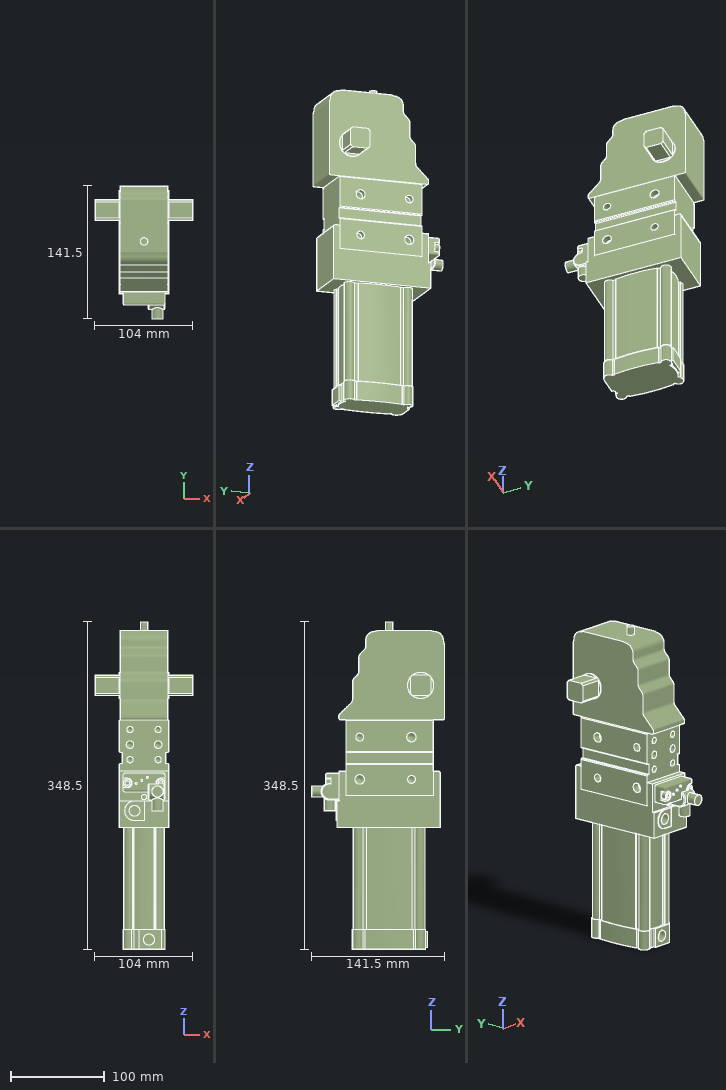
import cadquery as cq
import math

TOTAL_HEIGHT = 348.5
TOTAL_WIDTH = 104.0

HEAD_WIDTH = 51.0
HEAD_BOTTOM = 244.3
HEAD_TOP = 339.5
HEAD_BACK = 59.0
HEAD_NOSE = -53.5
STEP_Y = (-25.0, -32.5, -39.0)
STEP_TOP_Z = (320.3, 293.5, 263.8)
STEP_FILLET = 6.0
TOE_HEIGHT = 5.2
TOE_FILLET = 1.7
HEAD_BASE_FILLET = 1.5
CROWN_BACK_CORNER = 10.0
CROWN_FRONT_CORNER = 9.8
CROWN_LEAN = 1.0
CROWN_LEAN_LENGTH = 4.0
BUTTON_DIAMETER = 8.0

BLOCK_WIDTH = 53.0
BLOCK_BACK = 47.0
BLOCK_FRONT = -46.0
BLOCK_BOTTOM = 163.8
GROOVE_DEPTH = 3.0
GROOVE_BOTTOM = 198.0
GROOVE_TOP = 209.5
GROOVE_CHAMFER = 1.0

FRONT_HOLE_X = 15.0
FRONT_HOLE_MID_Z = 217.8
FRONT_HOLE_PITCH = 16.0
FRONT_SCREW_HOLE = 6.5
FRONT_DOWEL_HOLE = 8.0
SIDE_HOLE_BACK_Y = 23.7
SIDE_HOLE_FRONT_Y = -31.5
SIDE_HOLE_LOW_Z = 181.0
SIDE_HOLE_HIGH_Z = 226.0
SIDE_SCREW_HOLE = 8.5
SIDE_DOWEL_HOLE = 10.0
BLIND_DEPTH = 8.7
DRILL_POINT_ANGLE = 118

SHAFT_Y = 33.5
SHAFT_Z = 281.0
SHAFT_DIAMETER = 28.0
SHAFT_SQUARE = 22.0

CYL_HEAD_BACK = 54.5
CYL_HEAD_FRONT = -55.8
CYL_HEAD_BOTTOM = 129.5
CYL_HEAD_TOP = 189.5
CYL_HEAD_CHAMFER = 1.5
SENSOR_SEAT_Y = -53.3
SENSOR_SEAT_Z = 158.0
SEAT_HOLE_DIAMETER = 5.5
SEAT_HOLE_Z = 162.0
SEAT_HOLE_DEPTH = 1.7

PORT_PAD_DIAMETER = 21.0
PORT_PAD_HEIGHT = 1.0
PORT_PAD_RIGHT = 0.7
PORT_X = -10.0
PORT_Z = 147.5
PORT_DIAMETER = 11.5
PORT_DEPTH = 8.7

TUBE_HALF_WIDTH = 21.5
TUBE_HALF_LENGTH = 38.5
TUBE_SIDE_HALF = 24.0
TUBE_END_HALF = 12.0
CAP_HALF_WIDTH = 22.3
CAP_HALF_LENGTH = 38.7
CAP_SIDE_HALF = 25.8
CAP_END_HALF = 10.8
CAP_HEIGHT = 21.0
RIB_DIAMETER = 11.5
SIDE_BULGE = 1.7
SIDE_SETBACK = 2.8
END_BULGE = 2.5
END_SETBACK = 1.0
CAP_PORT_X = 5.2
CAP_PORT_Z = 10.5
CAP_PORT_DIAMETER = 12.0
CAP_PAD_WIDTH = 21.0
CAP_PAD_BEVEL_WIDTH = 2.8
CAP_PAD_BEVEL_DEPTH = 0.7
CAP_PAD_FRONT = -39.5
CAP_PAD_BACK = 40.8
CAP_PAD_BACK_BOTTOM = 1.7
CAP_PAD_BACK_TOP = 19.0

SENSOR_WIDTH = 44.5
SENSOR_BOTTOM = 167.5
SENSOR_TOP = 187.5
SENSOR_FRONT = -67.5
SENSOR_FILLET = 2.0
SENSOR_SCREW_X = 17.8
SENSOR_SCREW_Z = 177.0
SENSOR_SCREW_RECESS = 10.0
SENSOR_SCREW_DIAMETER = 8.5
SENSOR_RECESS_DEPTH = 5.5
SCREW_SOCKET_DIAMETER = 5.0
SCREW_SOCKET_DEPTH = 2.8
SENSOR_FRONT_FILLET = 1.7
LIGHT_PITCH_X = 6.0
LIGHT_PITCH_Z = 3.0
LIGHT_MID_X = -2.5
LIGHT_MID_Z = 180.0
LIGHT_SIZE = 2.0
LIGHT_DEPTH = 1.0

ELBOW_LEFT = 4.2
ELBOW_DIAMETER = 18.0
ELBOW_CHAMFER = 1.0
ELBOW_Y = -63.5
ELBOW_Z = 168.0
PLUG_X = 14.3
PLUG_DIAMETER = 12.0
PLUG_FRONT = -82.5
PLUG_BOTTOM = 147.5


def box(x_range, y_range, z_range):
    """Box between the given limits along X, Y and Z."""
    size = [high - low for low, high in (x_range, y_range, z_range)]
    corner = (x_range[0], y_range[0], z_range[0])
    return cq.Workplane("XY").box(*size, centered=False).translate(corner)


def rod(start, direction, diameter, length):
    """Cylinder that starts at a point and runs along a direction."""
    solid = cq.Solid.makeCylinder(diameter / 2, length, cq.Vector(*start), cq.Vector(*direction))
    return cq.Workplane(obj=solid)


def drilled_hole(start, direction, diameter):
    """Cutter for a blind hole with a conical bottom."""
    radius = diameter / 2
    tip = radius / math.tan(math.radians(DRILL_POINT_ANGLE / 2))
    cutter = (
        cq.Workplane("XZ")
        .polyline([(0, 0), (radius, 0), (radius, BLIND_DEPTH), (0, BLIND_DEPTH + tip)])
        .close()
        .revolve(360, (0, 0), (0, 1))
        .val()
    )
    plane = cq.Plane(origin=start, normal=direction)
    return cq.Workplane(obj=cutter.moved(cq.Location(plane)))


def clamp_head():
    """Head with a rounded crown and a stepped front, extruded along X."""
    crown_back = HEAD_BACK - CROWN_LEAN
    crown_shoulder = HEAD_TOP - CROWN_LEAN
    bend = math.sqrt(0.5)
    back_r = CROWN_BACK_CORNER
    front_r = CROWN_FRONT_CORNER
    back_centre = (crown_back - back_r, crown_shoulder - back_r)
    front_centre = (STEP_Y[0] + front_r, crown_shoulder - front_r)
    toe_top = HEAD_BOTTOM + TOE_HEIGHT
    outline = (
        cq.Workplane("YZ")
        .moveTo(HEAD_BACK, HEAD_BOTTOM)
        .lineTo(HEAD_BACK, back_centre[1] - CROWN_LEAN_LENGTH)
        .lineTo(crown_back, back_centre[1])
        .threePointArc(
            (back_centre[0] + back_r * bend, back_centre[1] + back_r * bend),
            (back_centre[0], crown_shoulder),
        )
        .lineTo(back_centre[0] - CROWN_LEAN_LENGTH, HEAD_TOP)
        .lineTo(front_centre[0] + CROWN_LEAN_LENGTH, HEAD_TOP)
        .lineTo(front_centre[0], crown_shoulder)
        .threePointArc(
            (front_centre[0] - front_r * bend, front_centre[1] + front_r * bend),
            (STEP_Y[0], front_centre[1]),
        )
        .lineTo(STEP_Y[0], STEP_TOP_Z[0])
    )
    for step in (1, 2):
        drop = STEP_Y[step - 1] - STEP_Y[step]
        outline = outline.lineTo(STEP_Y[step], STEP_TOP_Z[step - 1] - drop)
        outline = outline.lineTo(STEP_Y[step], STEP_TOP_Z[step])
    outline = outline.lineTo(HEAD_NOSE, toe_top).lineTo(HEAD_NOSE, HEAD_BOTTOM).close()
    head = outline.extrude(HEAD_WIDTH / 2, both=True)

    for step in (0, 1, 2):
        head = round_edge(head, STEP_Y[step], STEP_TOP_Z[step], STEP_FILLET)
    for step in (1, 2):
        drop = STEP_Y[step - 1] - STEP_Y[step]
        head = round_edge(head, STEP_Y[step], STEP_TOP_Z[step - 1] - drop, STEP_FILLET)
    head = round_edge(head, HEAD_NOSE, toe_top, TOE_FILLET)
    head = round_edge(head, HEAD_NOSE, HEAD_BOTTOM, TOE_FILLET)
    return round_edge(head, HEAD_BACK, HEAD_BOTTOM, HEAD_BASE_FILLET)


def round_edge(body, y, z, radius):
    """Fillet the edge along X that passes through (y, z)."""
    return body.edges(cq.selectors.NearestToPointSelector((0, y, z))).fillet(radius)


def mounting_block():
    """Block under the head, with bevelled top edges and a groove in each side."""
    half = BLOCK_WIDTH / 2
    bevel = (BLOCK_WIDTH - HEAD_WIDTH) / 2
    block = box((-half, half), (BLOCK_FRONT, BLOCK_BACK), (BLOCK_BOTTOM, HEAD_BOTTOM))
    block = block.faces(">Z").edges("|Y").chamfer(bevel)
    floor = half - GROOVE_DEPTH
    for side in (-1, 1):
        groove = (
            cq.Workplane("XZ", origin=(0, BLOCK_BACK, 0))
            .moveTo(side * floor, GROOVE_BOTTOM)
            .lineTo(side * (half - GROOVE_CHAMFER), GROOVE_BOTTOM)
            .lineTo(side * half, GROOVE_BOTTOM - GROOVE_CHAMFER)
            .lineTo(side * half, GROOVE_TOP + GROOVE_CHAMFER)
            .lineTo(side * (half - GROOVE_CHAMFER), GROOVE_TOP)
            .lineTo(side * floor, GROOVE_TOP)
            .close()
            .extrude(BLOCK_BACK - BLOCK_FRONT)
        )
        block = block.cut(groove)
    return block


def drill_mounting_holes(block):
    """Screw and dowel holes in the front and in both sides of the block."""
    for x in (-FRONT_HOLE_X, FRONT_HOLE_X):
        for row, diameter in ((-1, FRONT_SCREW_HOLE), (0, FRONT_DOWEL_HOLE), (1, FRONT_SCREW_HOLE)):
            start = (x, BLOCK_FRONT, FRONT_HOLE_MID_Z + row * FRONT_HOLE_PITCH)
            block = block.cut(drilled_hole(start, (0, 1, 0), diameter))
    side_holes = (
        (SIDE_HOLE_BACK_Y, SIDE_HOLE_HIGH_Z, SIDE_DOWEL_HOLE),
        (SIDE_HOLE_FRONT_Y, SIDE_HOLE_HIGH_Z, SIDE_SCREW_HOLE),
        (SIDE_HOLE_BACK_Y, SIDE_HOLE_LOW_Z, SIDE_SCREW_HOLE),
        (SIDE_HOLE_FRONT_Y, SIDE_HOLE_LOW_Z, SIDE_DOWEL_HOLE),
    )
    for side in (-1, 1):
        for y, z, diameter in side_holes:
            start = (side * BLOCK_WIDTH / 2, y, z)
            block = block.cut(drilled_hole(start, (-side, 0, 0), diameter))
    return block


def make_clamp():
    """Head, mounting block and release button, with a bore for the shaft."""
    block = drill_mounting_holes(mounting_block())
    button = rod((0, 0, HEAD_TOP), (0, 0, 1), BUTTON_DIAMETER, TOTAL_HEIGHT - HEAD_TOP)
    bore = rod((-HEAD_WIDTH / 2, SHAFT_Y, SHAFT_Z), (1, 0, 0), SHAFT_DIAMETER, HEAD_WIDTH)
    return clamp_head().union(block).union(button).cut(bore)


def make_shaft():
    """Round shaft with square ends whose corners are turned to the shaft diameter."""
    journal = rod((-BLOCK_WIDTH / 2, SHAFT_Y, SHAFT_Z), (1, 0, 0), SHAFT_DIAMETER, BLOCK_WIDTH)
    full = rod((-TOTAL_WIDTH / 2, SHAFT_Y, SHAFT_Z), (1, 0, 0), SHAFT_DIAMETER, TOTAL_WIDTH)
    square = cq.Workplane("XY").box(TOTAL_WIDTH, SHAFT_SQUARE, SHAFT_SQUARE)
    return full.intersect(square.translate((0, SHAFT_Y, SHAFT_Z))).union(journal)


def cylinder_head():
    """Head of the cylinder, with a slot that receives the mounting block."""
    half = BLOCK_WIDTH / 2
    head = box((-half, half), (CYL_HEAD_FRONT, CYL_HEAD_BACK), (CYL_HEAD_BOTTOM, CYL_HEAD_TOP))
    head = head.edges(">Y and >Z").chamfer(CYL_HEAD_CHAMFER)
    seat = box((-half, half), (CYL_HEAD_FRONT, SENSOR_SEAT_Y), (SENSOR_SEAT_Z, CYL_HEAD_TOP))
    slot = box((-half, half), (BLOCK_FRONT, BLOCK_BACK), (BLOCK_BOTTOM, CYL_HEAD_TOP))
    seat_hole = rod((0, SENSOR_SEAT_Y, SEAT_HOLE_Z), (0, 1, 0), SEAT_HOLE_DIAMETER, SEAT_HOLE_DEPTH)
    return head.cut(seat).cut(slot).cut(seat_hole)


def add_port(head):
    """D-shaped pad with an air port on the front of the cylinder head."""
    radius = PORT_PAD_DIAMETER / 2
    pad_front = CYL_HEAD_FRONT - PORT_PAD_HEIGHT
    disc = rod((PORT_X, CYL_HEAD_FRONT, PORT_Z), (0, -1, 0), PORT_PAD_DIAMETER, PORT_PAD_HEIGHT)
    flat = box((PORT_X, PORT_PAD_RIGHT), (pad_front, CYL_HEAD_FRONT), (PORT_Z - radius, PORT_Z + radius))
    half = BLOCK_WIDTH / 2
    below_seat = box((-half, half), (pad_front, CYL_HEAD_FRONT), (CYL_HEAD_BOTTOM, SENSOR_SEAT_Z))
    port = rod((PORT_X, pad_front, PORT_Z), (0, 1, 0), PORT_DIAMETER, PORT_DEPTH)
    return head.union(disc.union(flat).intersect(below_seat)).cut(port)


def bulged_column(half_width, half_length, side_half, end_half, z_range):
    """Column with two bulged sides, two bulged ends and a round rib at each corner.

    The side bulges span y = -side_half to side_half, the end bulges x = -end_half to end_half.
    Flat shoulders join the bulges to the ribs.
    """
    bottom, top = z_range
    height = top - bottom
    rib_x = half_width - RIB_DIAMETER / 2
    rib_y = half_length - RIB_DIAMETER / 2
    side_x = half_width - SIDE_BULGE
    peak_y = half_length - END_SETBACK
    end_y = peak_y - END_BULGE
    base = cq.Workplane("XY", origin=(0, 0, bottom))

    shoulder_gap = box((-end_half, end_half), (-peak_y, peak_y), z_range)
    shoulder_x = half_width - SIDE_SETBACK
    shoulders = box((-shoulder_x, shoulder_x), (-peak_y, peak_y), z_range).cut(shoulder_gap)
    sides = (
        base.moveTo(side_x, -side_half)
        .threePointArc((half_width, 0), (side_x, side_half))
        .lineTo(-side_x, side_half)
        .threePointArc((-half_width, 0), (-side_x, -side_half))
        .close()
        .extrude(height)
    )
    ends = (
        base.moveTo(end_half, -end_y)
        .lineTo(end_half, end_y)
        .threePointArc((0, peak_y), (-end_half, end_y))
        .lineTo(-end_half, -end_y)
        .threePointArc((0, -peak_y), (end_half, -end_y))
        .close()
        .extrude(height)
    )
    column = sides.union(ends).union(shoulders)
    for x in (-rib_x, rib_x):
        for y in (-rib_y, rib_y):
            column = column.union(rod((x, y, bottom), (0, 0, 1), RIB_DIAMETER, height))
    return column


def end_cap():
    """Cap at the bottom of the tube, with a ported front pad and a rear pad."""
    cap = bulged_column(
        CAP_HALF_WIDTH, CAP_HALF_LENGTH, CAP_SIDE_HALF, CAP_END_HALF, (0, CAP_HEIGHT)
    )
    pad_x = (CAP_PORT_X - CAP_PAD_WIDTH / 2, CAP_PORT_X + CAP_PAD_WIDTH / 2)
    front_pad = (
        cq.Workplane("XY")
        .moveTo(pad_x[0], 0)
        .lineTo(pad_x[0], CAP_PAD_FRONT)
        .lineTo(pad_x[1], CAP_PAD_FRONT)
        .lineTo(pad_x[1] + CAP_PAD_BEVEL_WIDTH, CAP_PAD_FRONT + CAP_PAD_BEVEL_DEPTH)
        .lineTo(pad_x[1] + CAP_PAD_BEVEL_WIDTH, 0)
        .close()
        .extrude(CAP_HEIGHT)
    )
    back_pad = box(pad_x, (0, CAP_PAD_BACK), (CAP_PAD_BACK_BOTTOM, CAP_PAD_BACK_TOP))
    port = rod((CAP_PORT_X, CAP_PAD_FRONT, CAP_PORT_Z), (0, 1, 0), CAP_PORT_DIAMETER, PORT_DEPTH)
    return cap.union(front_pad).union(back_pad).cut(port)


def add_sensor_screw(sensor, side):
    """Recess that opens to one side of the sensor, holding a socket-head screw."""
    x = side * SENSOR_SCREW_X
    radius = SENSOR_SCREW_RECESS / 2
    start = (x, SENSOR_FRONT, SENSOR_SCREW_Z)
    recess = rod(start, (0, 1, 0), SENSOR_SCREW_RECESS, SENSOR_RECESS_DEPTH)
    opening = box(
        sorted((x, side * SENSOR_WIDTH / 2)),
        (SENSOR_FRONT, SENSOR_FRONT + SENSOR_RECESS_DEPTH),
        (SENSOR_SCREW_Z - radius, SENSOR_SCREW_Z + radius),
    )
    screw = rod(start, (0, 1, 0), SENSOR_SCREW_DIAMETER, SENSOR_RECESS_DEPTH)
    socket = rod(start, (0, 1, 0), SCREW_SOCKET_DIAMETER, SCREW_SOCKET_DEPTH)
    return sensor.cut(recess).cut(opening).union(screw.cut(socket))


def sensor_box():
    """Rounded sensor housing with two recessed screws and three indicator lights."""
    half = SENSOR_WIDTH / 2
    sensor = box((-half, half), (SENSOR_FRONT, SENSOR_SEAT_Y), (SENSOR_BOTTOM, SENSOR_TOP))
    sensor = sensor.edges("|Y").fillet(SENSOR_FILLET).faces("<Y").edges().fillet(SENSOR_FRONT_FILLET)
    for side in (-1, 1):
        sensor = add_sensor_screw(sensor, side)
    for place in (-1, 0, 1):
        x = LIGHT_MID_X + place * LIGHT_PITCH_X
        z = LIGHT_MID_Z + place * LIGHT_PITCH_Z
        sensor = sensor.cut(rod((x, SENSOR_FRONT, z), (0, 1, 0), LIGHT_SIZE, LIGHT_DEPTH))
    return sensor


def connector():
    """Elbow at the corner of the sensor, with one plug forward and one down."""
    radius = ELBOW_DIAMETER / 2
    elbow_x = (ELBOW_LEFT, SENSOR_WIDTH / 2)
    hub = rod((ELBOW_LEFT, ELBOW_Y, ELBOW_Z), (1, 0, 0), ELBOW_DIAMETER, elbow_x[1] - elbow_x[0])
    web = box(elbow_x, (ELBOW_Y, SENSOR_SEAT_Y), (ELBOW_Z - radius, ELBOW_Z + radius))
    centre = (PLUG_X, ELBOW_Y, ELBOW_Z)
    forward = rod(centre, (0, -1, 0), PLUG_DIAMETER, ELBOW_Y - PLUG_FRONT)
    down = rod(centre, (0, 0, -1), PLUG_DIAMETER, ELBOW_Z - PLUG_BOTTOM)
    elbow = hub.union(web).faces("<X or >X").edges("not >Y").chamfer(ELBOW_CHAMFER)
    return elbow.union(forward).union(down)


def make_actuator():
    """Pneumatic cylinder with its head, end cap and sensor."""
    tube = bulged_column(
        TUBE_HALF_WIDTH,
        TUBE_HALF_LENGTH,
        TUBE_SIDE_HALF,
        TUBE_END_HALF,
        (CAP_HEIGHT, CYL_HEAD_BOTTOM),
    )
    body = add_port(cylinder_head()).union(tube).union(end_cap())
    return body.union(sensor_box()).union(connector())


clamp = make_clamp().solids()
shaft = make_shaft().solids()
actuator = make_actuator().solids()
result = cq.Compound.makeCompound([clamp.val(), shaft.val(), actuator.val()])